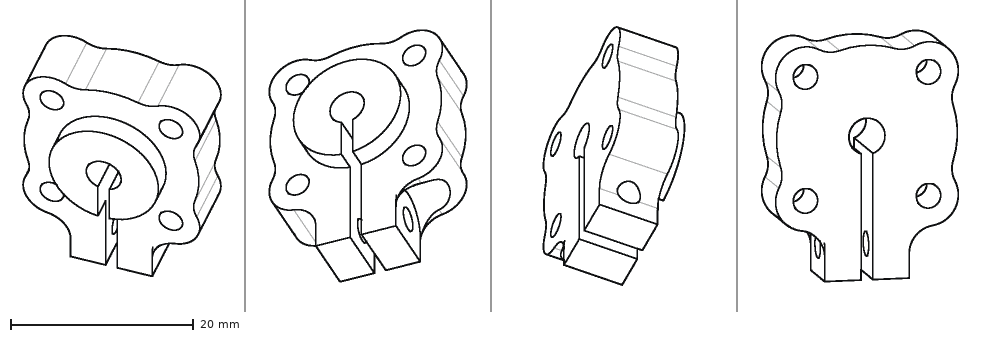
import cadquery as cq
import math

plate_thickness = 7.0
boss_height = 2.52
boss_radius = 6.35
bore_radius = 2.02
slot_width = 1.35
hole_radius = 1.37

hole_offset = 6.91
lobe_radius = 3.37
body_radius = 10.17
blend_radius = 3.02
tab_half_width = 4.75
part_height = 26.3
tab_bottom = hole_offset + lobe_radius - part_height
clamp_hole_z = -12.62


def along(start, end, distance):
    """Point at a distance from start, in the direction of end."""
    share = distance / math.dist(start, end)
    return tuple(a + (b - a) * share for a, b in zip(start, end))


def arc_middle(center, radius, start, end):
    """Middle of the shorter arc from start to end."""
    chord_middle = tuple((a + b) / 2 for a, b in zip(start, end))
    return along(center, chord_middle, radius)


def mirror_x(point):
    return (-point[0], point[1])


def mirror_z(point):
    return (point[0], -point[1])


def swap(point):
    return (point[1], point[0])


origin = (0.0, 0.0)
lobe = (hole_offset, hole_offset)
lobe_distance = math.hypot(*lobe)
body_reach = body_radius + blend_radius
lobe_reach = lobe_radius + blend_radius
cos_turn = (body_reach**2 + lobe_distance**2 - lobe_reach**2) / (2 * body_reach * lobe_distance)
blend_angle = math.pi / 4 + math.acos(cos_turn)
blend = (body_reach * math.cos(blend_angle), body_reach * math.sin(blend_angle))
body_end = along(origin, blend, body_radius)
lobe_end = along(lobe, blend, lobe_radius)
blend_middle = arc_middle(blend, blend_radius, body_end, lobe_end)
lobe_outer = along(origin, lobe, lobe_distance + lobe_radius)

lower_lobe = mirror_z(lobe)
tab_blend_x = tab_half_width + blend_radius
tab_blend_drop = math.sqrt(lobe_reach**2 - (tab_blend_x - hole_offset) ** 2)
tab_blend = (tab_blend_x, -hole_offset - tab_blend_drop)
lower_lobe_end = along(lower_lobe, tab_blend, lobe_radius)
tab_side_top = (tab_half_width, tab_blend[1])
tab_blend_middle = arc_middle(tab_blend, blend_radius, lower_lobe_end, tab_side_top)

right_arcs = [
    (blend_middle, lobe_end),
    (lobe_outer, swap(lobe_end)),
    (swap(blend_middle), swap(body_end)),
    ((body_radius, 0), mirror_z(swap(body_end))),
    (mirror_z(swap(blend_middle)), mirror_z(swap(lobe_end))),
    (mirror_z(lobe_outer), lower_lobe_end),
    (tab_blend_middle, tab_side_top),
]

outline = cq.Workplane("XZ").moveTo(*mirror_x(body_end)).threePointArc((0, body_radius), body_end)
for middle, end in right_arcs:
    outline = outline.threePointArc(middle, end)
outline = outline.lineTo(tab_half_width, tab_bottom).lineTo(-tab_half_width, tab_bottom)
outline = outline.lineTo(*mirror_x(tab_side_top))
arc_starts = [body_end] + [end for _, end in right_arcs[:-1]]
for (middle, _), start in zip(reversed(right_arcs), reversed(arc_starts)):
    outline = outline.threePointArc(mirror_x(middle), mirror_x(start))
plate = outline.close().extrude(plate_thickness)

total_depth = plate_thickness + boss_height
boss = cq.Workplane("XZ").circle(boss_radius).extrude(total_depth)

bore = cq.Workplane("XZ").circle(bore_radius).extrude(total_depth)
slot = cq.Workplane("XZ").center(0, tab_bottom / 2).rect(slot_width, -tab_bottom).extrude(total_depth)
mounting_holes = (
    cq.Workplane("XZ")
    .rect(2 * hole_offset, 2 * hole_offset, forConstruction=True)
    .vertices()
    .circle(hole_radius)
    .extrude(plate_thickness)
)

clamp_hole = (
    cq.Workplane("YZ")
    .center(-plate_thickness / 2, clamp_hole_z)
    .circle(hole_radius)
    .extrude(hole_offset + lobe_radius, both=True)
)

head_clearance = (
    cq.Workplane("YZ", origin=(tab_half_width, 0, 0))
    .center(-plate_thickness / 2, clamp_hole_z)
    .circle(plate_thickness / 2)
    .extrude(hole_offset + lobe_radius - tab_half_width)
)

result = plate.union(boss).cut(bore).cut(slot).cut(mounting_holes).cut(clamp_hole).cut(head_clearance)